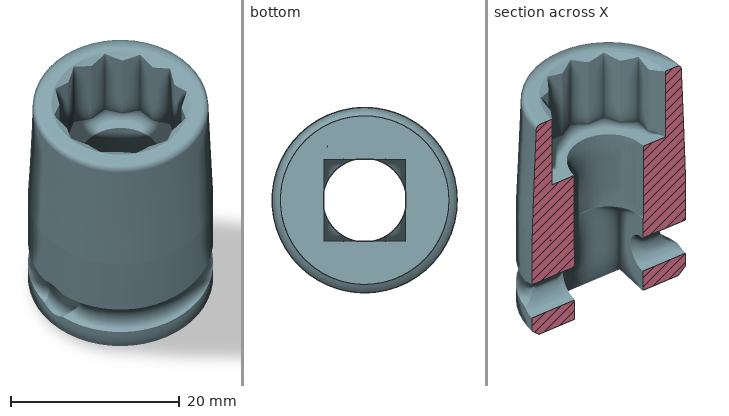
import cadquery as cq
import math

body_radius = 11.0
height = 32.0
base_chamfer = 1.0
taper_start_z = 15.5
top_radius = 10.4
rim_fillet = 0.7

groove_z = 5.5
groove_half_width = 2.0
groove_depth = 1.6
pin_hole_diameter = 5.0

hexagon_sides = 6
half_side_angle = 180.0 / hexagon_sides
across_flats = 14.0
socket_depth = 10.0
lead_in_radius = 8.2
lead_in_angle = 30.0

drive_width = 9.7
drive_depth = 11.0
bore_diameter = 9.9


def make_body():
    """Revolve the outer outline about Z and round the top rim."""
    outline = (
        cq.Workplane("XZ")
        .moveTo(0, 0)
        .lineTo(body_radius - base_chamfer, 0)
        .lineTo(body_radius, base_chamfer)
        .lineTo(body_radius, groove_z - groove_half_width)
        .threePointArc(
            (body_radius - groove_depth, groove_z),
            (body_radius, groove_z + groove_half_width),
        )
        .lineTo(body_radius, taper_start_z)
        .lineTo(top_radius, height)
        .lineTo(0, height)
        .close()
    )
    return outline.revolve(360, (0, 0, 0), (0, 1, 0)).faces(">Z").edges().fillet(rim_fillet)


def make_socket():
    """Twelve-point prism cut down from the top face."""
    corner_diameter = across_flats / math.cos(math.radians(half_side_angle))
    floor = cq.Workplane("XY").workplane(offset=height - socket_depth)
    hexagon = floor.polygon(hexagon_sides, corner_diameter).extrude(socket_depth)
    turned_hexagon = hexagon.rotate((0, 0, 0), (0, 0, 1), half_side_angle)
    return hexagon.union(turned_hexagon)


def make_lead_in():
    """Cone that chamfers the inward corners at the mouth of the socket."""
    cone_depth = lead_in_radius * math.tan(math.radians(lead_in_angle))
    return (
        cq.Workplane("XZ")
        .moveTo(0, height)
        .lineTo(lead_in_radius, height)
        .lineTo(0, height - cone_depth)
        .close()
        .revolve(360, (0, 0, 0), (0, 1, 0))
    )


def make_drive():
    """Square drive opening with the round bore above it."""
    square = cq.Workplane("XY").rect(drive_width, drive_width).extrude(drive_depth)
    bore_length = height - socket_depth - drive_depth
    bore = (
        cq.Workplane("XY")
        .workplane(offset=drive_depth)
        .circle(bore_diameter / 2)
        .extrude(bore_length)
    )
    return square.union(bore)


def make_pin_hole():
    """Round hole through both walls along Y."""
    return (
        cq.Workplane("XZ")
        .center(0, groove_z)
        .circle(pin_hole_diameter / 2)
        .extrude(body_radius, both=True)
    )


result = (
    make_body()
    .cut(make_socket())
    .cut(make_lead_in())
    .cut(make_drive())
    .cut(make_pin_hole())
)